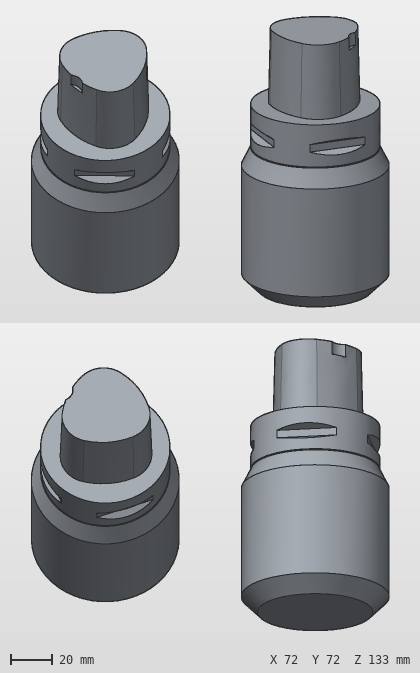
import math

import cadquery as cq

total_height = 133.0
shank_length = 38.0
collar_height = 22.0
cone_height = 9.5
bottom_chamfer = 8.0
flange_z = total_height - shank_length
collar_base_z = flange_z - collar_height
cone_base_z = collar_base_z - cone_height

body_radius = 72.0 / 2
collar_radius = 63.0 / 2
collar_groove_size = 0.3

lobe_tip_radius = 23.5
side_mid_radius = 20.5
lobe_arc_radius = 15.0
shank_taper = math.degrees(math.atan(1 / 40))
lobe_count = 3
lobe_pitch = 360 / lobe_count
first_lobe_angle = 90.0

groove_count = 4
first_groove_angle = 45.0
groove_drop = 12.15
groove_center_z = flange_z - groove_drop
groove_floor_distance = 27.9
groove_floor_height = 3.8
groove_wall_angle = 29.0

notch_radius = 6.5
notch_height = 6.5
notch_floor_y = -18.0


def polar(radius, angle):
    """Point at a radius and an angle in degrees around the axis."""
    return (radius * math.cos(math.radians(angle)), radius * math.sin(math.radians(angle)))


def turned_body():
    """Chamfered cylinder, a cone and a narrower collar with a small V groove at its foot."""
    profile = [
        (0, 0),
        (body_radius - bottom_chamfer, 0),
        (body_radius, bottom_chamfer),
        (body_radius, cone_base_z),
        (collar_radius, collar_base_z - collar_groove_size),
        (collar_radius - collar_groove_size, collar_base_z),
        (collar_radius, collar_base_z + collar_groove_size),
        (collar_radius, flange_z),
        (0, flange_z),
    ]
    return cq.Workplane("XZ").polyline(profile).close().revolve(360, (0, 0), (0, 1))


def tapered_shank():
    """Tapered rounded triangle whose lobe and side arcs meet tangentially."""
    lobe_center = lobe_tip_radius - lobe_arc_radius
    half_pitch = math.radians(lobe_pitch / 2)
    along = lobe_center * math.cos(half_pitch)
    across = lobe_center * math.sin(half_pitch)
    reach = side_mid_radius - along
    side_arc_radius = (across**2 + reach**2 - lobe_arc_radius**2) / (2 * (reach - lobe_arc_radius))
    side_center = side_arc_radius - side_mid_radius
    half_side = math.atan2(across, side_center + along)
    joint_across = side_arc_radius * math.sin(half_side)
    joint_along = side_arc_radius * math.cos(half_side) - side_center
    joint_radius = math.hypot(joint_across, joint_along)
    joint_offset = lobe_pitch / 2 - math.degrees(math.atan2(joint_across, joint_along))

    outline = cq.Workplane("XY", origin=(0, 0, flange_z))
    outline = outline.moveTo(*polar(joint_radius, first_lobe_angle - joint_offset))
    for i in range(lobe_count):
        lobe_angle = first_lobe_angle + i * lobe_pitch
        outline = outline.threePointArc(
            polar(lobe_tip_radius, lobe_angle),
            polar(joint_radius, lobe_angle + joint_offset),
        )
        outline = outline.threePointArc(
            polar(side_mid_radius, lobe_angle + lobe_pitch / 2),
            polar(joint_radius, lobe_angle + lobe_pitch - joint_offset),
        )
    return outline.close().extrude(shank_length, taper=shank_taper)


def gripper_groove(angle):
    """Straight trapezoidal groove cutter, widening outward, at an angle around the axis."""
    outer_distance = body_radius
    floor_half = groove_floor_height / 2
    depth = outer_distance - groove_floor_distance
    mouth_half = floor_half + depth * math.tan(math.radians(groove_wall_angle))
    section = [
        (groove_floor_distance, groove_center_z - floor_half),
        (outer_distance, groove_center_z - mouth_half),
        (outer_distance, groove_center_z + mouth_half),
        (groove_floor_distance, groove_center_z + floor_half),
    ]
    cutter = cq.Workplane("XZ").polyline(section).close().extrude(body_radius, both=True)
    return cutter.rotate((0, 0, 0), (0, 0, 1), angle)


def locating_notch():
    """Upright round cutter for the notch in the shank."""
    return (
        cq.Workplane("XY", origin=(0, notch_floor_y - notch_radius, total_height - notch_height))
        .circle(notch_radius)
        .extrude(notch_height)
    )


result = turned_body().union(tapered_shank())
for i in range(groove_count):
    result = result.cut(gripper_groove(first_groove_angle + i * 360 / groove_count))
result = result.cut(locating_notch())